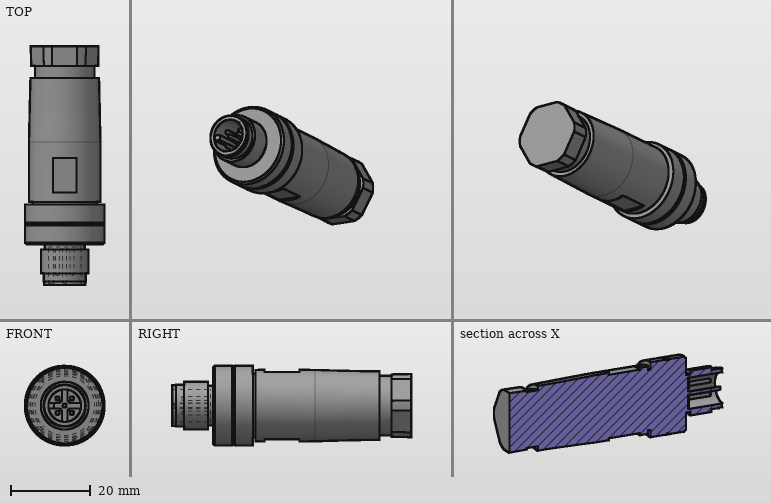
import cadquery as cq
import math

LENGTH = 60.0
TIP_END = 0.95
COLLAR_END = 3.0
THREAD_END = 9.0
STEM_END = 10.2
RING_END = 20.3
NECK_END = 20.9
BARREL_END = 35.9
TAPER_END = 52.0
NUT_START = 55.0

TIP_RADIUS = 5.15
COLLAR_RADIUS = 5.3
THREAD_RADIUS = 6.0
STEM_RADIUS = 5.05
RING_RADIUS = 10.0
NECK_RADIUS = 8.05
BARREL_RADIUS = 9.0
TAPER_RADIUS = 8.65
GLAND_RADIUS = 7.5

RING_CHAMFER = 0.55
GROOVE_CENTER = 15.35
GROOVE_HALF_WIDTH = 0.35
GROOVE_DEPTH = 0.35

NUT_FLAT_DISTANCE = 15.7
NUT_CORNER_RADIUS = 8.45
NUT_DRAFT_ANGLE = 1.0

FLAT_START = 23.2
FLAT_END = 31.9
FLAT_WIDTH = 6.0

BORE_RADIUS = 4.1
BORE_DEPTH = THREAD_END
CROSS_WIDTH = 1.3
CROSS_FILLET = 1.0
CROSS_DEPTH = 0.6
CROSS_FLOOR = BORE_DEPTH + CROSS_DEPTH

PIN_RADIUS = 0.51
PIN_OFFSET = 1.8
CENTER_PIN_TIP = 0.4
OUTER_PIN_TIP = 2.4

KEY_START = 0.5
KEY_WIDTH = CROSS_WIDTH
KEY_INNER = 2.65
KEY_CROWN = 0.2
KEY_ROOT = (BORE_RADIUS + TIP_RADIUS) / 2


def section_plane(y):
    """Plane across the part at the given Y; its normal is +Y and its local y is -Z."""
    return cq.Workplane(cq.Plane(origin=(0, y, 0), xDir=(1, 0, 0), normal=(0, 1, 0)))


def turned_body():
    """Everything from the plug tip to the gland, as one revolved half profile."""
    profile = [
        (0, 0),
        (TIP_RADIUS, 0),
        (TIP_RADIUS, TIP_END),
        (COLLAR_RADIUS, TIP_END),
        (COLLAR_RADIUS, COLLAR_END),
        (THREAD_RADIUS, COLLAR_END),
        (THREAD_RADIUS, THREAD_END),
        (STEM_RADIUS, THREAD_END),
        (STEM_RADIUS, STEM_END),
        (RING_RADIUS - RING_CHAMFER, STEM_END),
        (RING_RADIUS, STEM_END + RING_CHAMFER),
        (RING_RADIUS, GROOVE_CENTER - GROOVE_HALF_WIDTH),
        (RING_RADIUS - GROOVE_DEPTH, GROOVE_CENTER),
        (RING_RADIUS, GROOVE_CENTER + GROOVE_HALF_WIDTH),
        (RING_RADIUS, RING_END),
        (NECK_RADIUS, RING_END),
        (NECK_RADIUS, NECK_END),
        (BARREL_RADIUS, NECK_END),
        (BARREL_RADIUS, BARREL_END),
        (TAPER_RADIUS, TAPER_END),
        (GLAND_RADIUS, TAPER_END),
        (GLAND_RADIUS, NUT_START),
        (0, NUT_START),
    ]
    return cq.Workplane("XY").polyline(profile).close().revolve(360, (0, 0, 0), (0, 1, 0))


def gland_nut():
    """Hexagon with flats facing +Z and -Z, its corners turned down to a circle."""
    nut_length = LENGTH - NUT_START
    hexagon_diameter = NUT_FLAT_DISTANCE / math.cos(math.radians(30))
    hexagon = section_plane(NUT_START).polygon(6, hexagon_diameter)
    turning = section_plane(NUT_START).circle(NUT_CORNER_RADIUS)
    return hexagon.extrude(nut_length, taper=-NUT_DRAFT_ANGLE).intersect(
        turning.extrude(nut_length, taper=-NUT_DRAFT_ANGLE)
    )


def barrel_flats():
    """Cutters for the two opposite flats on the +Z and -Z sides of the barrel."""
    flat_height = math.sqrt(BARREL_RADIUS**2 - (FLAT_WIDTH / 2) ** 2)
    cutter = cq.Workplane("XY").box(
        2 * BARREL_RADIUS, FLAT_END - FLAT_START, BARREL_RADIUS, centered=(True, False, False)
    )
    upper = cutter.translate((0, FLAT_START, flat_height))
    return upper.union(upper.mirror("XY"))


def socket():
    """Round bore plus the cross recess with rounded inner corners in its floor."""
    bore = section_plane(0).circle(BORE_RADIUS).extrude(BORE_DEPTH)
    arm_length = 2 * BORE_RADIUS
    across = section_plane(BORE_DEPTH).rect(arm_length, CROSS_WIDTH).extrude(CROSS_DEPTH)
    upright = section_plane(BORE_DEPTH).rect(CROSS_WIDTH, arm_length).extrude(CROSS_DEPTH)
    inner_corners = cq.selectors.BoxSelector(
        (-CROSS_WIDTH, BORE_DEPTH, -CROSS_WIDTH), (CROSS_WIDTH, CROSS_FLOOR, CROSS_WIDTH)
    )
    cross = across.union(upright).edges("|Y").edges(inner_corners).fillet(CROSS_FILLET)
    bore_limit = section_plane(BORE_DEPTH).circle(BORE_RADIUS).extrude(CROSS_DEPTH)
    return bore.union(cross.intersect(bore_limit))


def contact_pin(x, z, tip):
    """Pin with a hemispherical nose at Y = tip, rooted at the level of the cross floor."""
    pin = (
        cq.Workplane("XY")
        .moveTo(0, tip)
        .radiusArc((PIN_RADIUS, tip + PIN_RADIUS), -PIN_RADIUS)
        .lineTo(PIN_RADIUS, CROSS_FLOOR)
        .lineTo(0, CROSS_FLOOR)
        .close()
        .revolve(360, (0, 0, 0), (0, 1, 0))
    )
    return pin.translate((x, 0, z))


def coding_key():
    """Bar along the socket wall with a crowned inner face, buried in the wall at its root."""
    half_width = KEY_WIDTH / 2
    shoulder = KEY_INNER + KEY_CROWN
    return (
        section_plane(KEY_START)
        .moveTo(-KEY_ROOT, -half_width)
        .lineTo(-shoulder, -half_width)
        .threePointArc((-KEY_INNER, 0), (-shoulder, half_width))
        .lineTo(-KEY_ROOT, half_width)
        .close()
        .extrude(BORE_DEPTH - KEY_START)
    )


result = turned_body().union(gland_nut()).cut(barrel_flats()).cut(socket()).union(coding_key())

result = result.union(contact_pin(0, 0, CENTER_PIN_TIP))
for pin_x in (-PIN_OFFSET, PIN_OFFSET):
    for pin_z in (-PIN_OFFSET, PIN_OFFSET):
        result = result.union(contact_pin(pin_x, pin_z, OUTER_PIN_TIP))